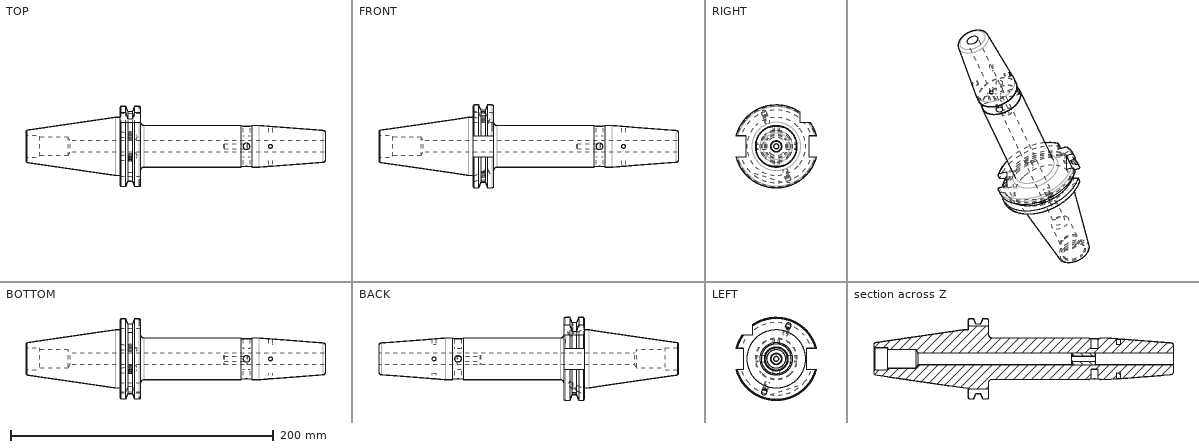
import cadquery as cq
import math

TOTAL_LENGTH = 228.5

GAUGE_X = 68.3
GAUGE_DIAMETER = 44.5
GAUGE_RADIUS = GAUGE_DIAMETER / 2
TAPER_RATIO = 7 / 24
TAPER_CHAMFER = 1.0
TAPER_END_RADIUS = GAUGE_RADIUS - GAUGE_X * TAPER_RATIO / 2

FLANGE_START = 71.7
FLANGE_END = 87.5
FLANGE_RADIUS = 31.7
FLANGE_WIDTH = FLANGE_END - FLANGE_START
FRONT_CHAMFER = 1.0
BACK_FILLET = 1.4
GROOVE_X = 79.5
GROOVE_RADIUS = 27.9
GROOVE_TOP_HALF = 3.5
GROOVE_FLOOR_HALF = 1.8

DRIVE_SLOT_WIDTH = 16.0
DRIVE_SLOT_FLOOR_PLUS_Y = 25.1
DRIVE_SLOT_FLOOR_MINUS_Y = 23.0
NOTCH_Y = 18.3
NOTCH_Z = 18.3
GROOVE_FLAT_DISTANCE = 24.7
GROOVE_FLAT_WIDTH = 3.5
GROOVE_FLAT_ANGLE = 18.0

SHANK_RADIUS = 16.0
SHANK_FILLET = 2.5
NECK_START = 164.0
NECK_END = 172.2
NECK_RADIUS = 15.5
NOSE_START = 177.7
NOSE_RADIUS = 12.0
NOSE_FILLET = 2.0

MOUTH_RADIUS = 8.5
MOUTH_CHAMFER = 0.7
MOUTH_DEPTH = 10.5
THREAD_RADIUS = 7.0
THREAD_END = 32.0
DRILL_TIP_LENGTH = 1.5
CHANNEL_RADIUS = 4.3

STOP_SCREW_START = 150.7
STOP_SCREW_LENGTH = 18.3
STOP_SCREW_HOLE_RADIUS = 1.8
STOP_SCREW_CHAMFER = 0.5

COOLANT_ANGLE = 20.0
COOLANT_CIRCLE_RADIUS = 27.0
COOLANT_RADIUS = 1.95
COOLANT_TILT = 30.0
COOLANT_LENGTH = 13.7
SET_SCREW_RADIUS = 1.8
SET_SCREW_LENGTH = 3.5
SET_SCREW_TOP = 24.5

RADIAL_COUNT = 4
BALANCE_RADIUS = 2.5
BALANCE_DEPTH = 8.0
BALANCE_X = (NECK_START + NECK_END) / 2
PIN_X = 186.4
PIN_RADIUS = 1.48
PIN_LENGTH = 4.0
PIN_RECESS = 0.2
NOSE_SLOPE = (SHANK_RADIUS - NOSE_RADIUS) / (TOTAL_LENGTH - NOSE_START)
PIN_TOP = SHANK_RADIUS - (PIN_X - NOSE_START) * NOSE_SLOPE - PIN_RECESS

RADIAL_ANGLES = [i * 360 / RADIAL_COUNT for i in range(RADIAL_COUNT)]
COOLANT_ANGLES = [COOLANT_ANGLE, COOLANT_ANGLE + 180]


def around_axis(shape, angle):
    """Turn a shape about the holder axis; positive angles carry +Z towards -Y."""
    return shape.rotate((0, 0, 0), (1, 0, 0), angle)


def axial_cylinder(start, length, radius):
    return cq.Workplane("YZ", origin=(start, 0, 0)).circle(radius).extrude(length)


def radial_cylinder(x, top, depth, radius):
    """Cylinder pointing down -Z from the height top."""
    return cq.Workplane("XY", origin=(x, 0, top)).circle(radius).extrude(-depth)


def revolved(profile):
    return profile.close().revolve(360, (0, 0, 0), (1, 0, 0))


def turned_body():
    profile = (
        cq.Workplane("XY")
        .moveTo(0, 0)
        .lineTo(0, TAPER_END_RADIUS - TAPER_CHAMFER)
        .lineTo(TAPER_CHAMFER, TAPER_END_RADIUS + TAPER_CHAMFER * TAPER_RATIO / 2)
        .lineTo(GAUGE_X, GAUGE_RADIUS)
        .lineTo(FLANGE_START, GAUGE_RADIUS)
        .lineTo(FLANGE_START, FLANGE_RADIUS - FRONT_CHAMFER)
        .lineTo(FLANGE_START + FRONT_CHAMFER, FLANGE_RADIUS)
        .lineTo(GROOVE_X - GROOVE_TOP_HALF, FLANGE_RADIUS)
        .lineTo(GROOVE_X - GROOVE_FLOOR_HALF, GROOVE_RADIUS)
        .lineTo(GROOVE_X + GROOVE_FLOOR_HALF, GROOVE_RADIUS)
        .lineTo(GROOVE_X + GROOVE_TOP_HALF, FLANGE_RADIUS)
        .lineTo(FLANGE_END - BACK_FILLET, FLANGE_RADIUS)
        .radiusArc((FLANGE_END, FLANGE_RADIUS - BACK_FILLET), BACK_FILLET)
        .lineTo(FLANGE_END, SHANK_RADIUS + SHANK_FILLET)
        .radiusArc((FLANGE_END + SHANK_FILLET, SHANK_RADIUS), -SHANK_FILLET)
        .lineTo(NECK_START, SHANK_RADIUS)
        .lineTo(NECK_START, NECK_RADIUS)
        .lineTo(NECK_END, NECK_RADIUS)
        .lineTo(NECK_END, SHANK_RADIUS)
        .lineTo(NOSE_START, SHANK_RADIUS)
        .lineTo(TOTAL_LENGTH, NOSE_RADIUS)
        .lineTo(TOTAL_LENGTH, 0)
    )
    return revolved(profile).faces(">X").edges().fillet(NOSE_FILLET)


def axial_bore():
    profile = (
        cq.Workplane("XY")
        .moveTo(0, 0)
        .lineTo(0, MOUTH_RADIUS + MOUTH_CHAMFER)
        .lineTo(MOUTH_CHAMFER, MOUTH_RADIUS)
        .lineTo(MOUTH_DEPTH, MOUTH_RADIUS)
        .lineTo(MOUTH_DEPTH, THREAD_RADIUS)
        .lineTo(THREAD_END, THREAD_RADIUS)
        .lineTo(THREAD_END + DRILL_TIP_LENGTH, CHANNEL_RADIUS)
        .lineTo(TOTAL_LENGTH, CHANNEL_RADIUS)
        .lineTo(TOTAL_LENGTH, 0)
    )
    return revolved(profile)


def flange_block(y_size, z_size):
    """Box as long as the flange along X, with its lowest Y and Z corner on the axis."""
    block = cq.Workplane("XY", origin=(FLANGE_START, 0, 0))
    return block.box(FLANGE_WIDTH, y_size, z_size, centered=False)


def drive_slots():
    slot = flange_block(FLANGE_RADIUS, DRIVE_SLOT_WIDTH).translate((0, 0, -DRIVE_SLOT_WIDTH / 2))
    plus_slot = slot.translate((0, DRIVE_SLOT_FLOOR_PLUS_Y, 0))
    minus_slot = slot.translate((0, -FLANGE_RADIUS - DRIVE_SLOT_FLOOR_MINUS_Y, 0))
    return plus_slot.add(minus_slot)


def orientation_notch():
    return flange_block(FLANGE_RADIUS, FLANGE_RADIUS).translate((0, NOTCH_Y, NOTCH_Z))


def groove_flat():
    height = FLANGE_RADIUS - GROOVE_FLAT_DISTANCE
    block = cq.Workplane("XY", origin=(GROOVE_X, 0, GROOVE_FLAT_DISTANCE + height / 2))
    block = block.box(GROOVE_FLAT_WIDTH, 2 * FLANGE_RADIUS, height)
    return around_axis(block, 180 - GROOVE_FLAT_ANGLE)


def coolant_channel(angle):
    """Tilted channel from the flange face that ends inside the flange."""
    tilt = math.radians(COOLANT_TILT)
    direction = cq.Vector(math.cos(tilt), 0, -math.sin(tilt))
    mouth = cq.Vector(FLANGE_START, 0, COOLANT_CIRCLE_RADIUS)
    run_out = 2 * COOLANT_RADIUS * math.tan(tilt)
    channel = cq.Solid.makeCylinder(
        COOLANT_RADIUS, COOLANT_LENGTH + run_out, mouth - direction * run_out, direction
    )
    return around_axis(cq.Workplane(channel), angle)


def set_screw_hole(angle):
    depth = GROOVE_RADIUS - SET_SCREW_TOP + SET_SCREW_LENGTH
    return around_axis(radial_cylinder(GROOVE_X, GROOVE_RADIUS, depth, SET_SCREW_RADIUS), angle)


def make_set_screw(angle):
    screw = radial_cylinder(GROOVE_X, SET_SCREW_TOP, SET_SCREW_LENGTH, SET_SCREW_RADIUS)
    return around_axis(screw, angle)


def balance_hole(angle):
    hole = radial_cylinder(BALANCE_X, SHANK_RADIUS, BALANCE_DEPTH, BALANCE_RADIUS)
    return around_axis(hole, angle)


def make_plug_pin(angle):
    pin = radial_cylinder(PIN_X, PIN_TOP, PIN_LENGTH, PIN_RADIUS)
    return around_axis(pin, angle)


def make_stop_screw():
    screw = axial_cylinder(STOP_SCREW_START, STOP_SCREW_LENGTH, CHANNEL_RADIUS)
    screw = screw.faces("<X or >X").edges().chamfer(STOP_SCREW_CHAMFER)
    return screw.cut(axial_cylinder(STOP_SCREW_START, STOP_SCREW_LENGTH, STOP_SCREW_HOLE_RADIUS))


def pin_hole(angle):
    hole = radial_cylinder(PIN_X, SHANK_RADIUS, SHANK_RADIUS - PIN_TOP + PIN_LENGTH, PIN_RADIUS)
    return around_axis(hole, angle)


def make_holder():
    holder = turned_body().cut(axial_bore())
    holder = holder.cut(drive_slots()).cut(orientation_notch()).cut(groove_flat())
    for angle in COOLANT_ANGLES:
        holder = holder.cut(coolant_channel(angle)).cut(set_screw_hole(angle))
    for angle in RADIAL_ANGLES:
        holder = holder.cut(balance_hole(angle)).cut(pin_hole(angle))
    return holder


holder = make_holder()
stop_screw = make_stop_screw()
set_screws = [make_set_screw(angle).val() for angle in COOLANT_ANGLES]
plug_pins = [make_plug_pin(angle).val() for angle in RADIAL_ANGLES]

result = cq.Compound.makeCompound([holder.val(), stop_screw.val(), *set_screws, *plug_pins])